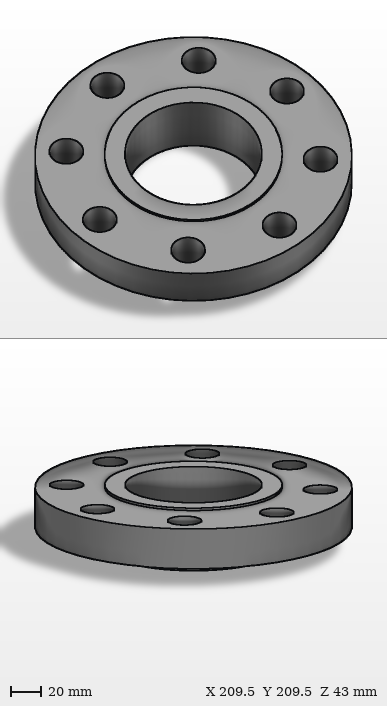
import cadquery as cq

flange_diameter = 209.5
hub_diameter = 117.3
bore_diameter = 90.5
total_height = 43.0
hub_height = 14.0
raised_face_height = 1.7
bolt_hole_count = 8
bolt_hole_diameter = 22.5
bolt_circle_diameter = 168.0

flange_thickness = total_height - hub_height - raised_face_height
half_hole_spacing = 180.0 / bolt_hole_count


def disc(diameter, height, base_z):
    """Solid disc about the Z axis, rising from base_z."""
    return cq.Workplane("XY").workplane(offset=base_z).circle(diameter / 2).extrude(height)


body = disc(hub_diameter, total_height, 0)
body = body.union(disc(flange_diameter, flange_thickness, hub_height))

body = body.cut(disc(bore_diameter, total_height, 0))

bolt_holes = (
    cq.Workplane("XY")
    .polarArray(bolt_circle_diameter / 2, half_hole_spacing, 360, bolt_hole_count)
    .circle(bolt_hole_diameter / 2)
    .extrude(total_height)
)
result = body.cut(bolt_holes)